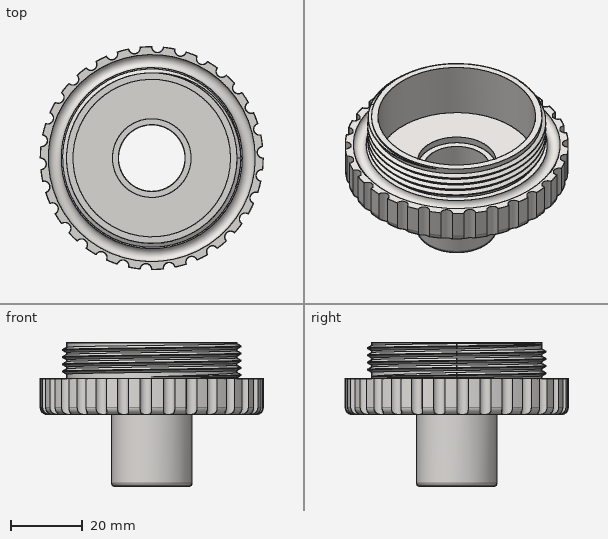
import cadquery as cq
import math

FLANGE_HEIGHT = 10.0
NECK_HEIGHT = 10.0
STEM_LENGTH = 20.0
NECK_TOP = FLANGE_HEIGHT + NECK_HEIGHT

FLANGE_RADIUS = 31.035
FLANGE_FILLET = 2.0
SCALLOP_COUNT = 30
SCALLOP_PITCH = 360.0 / SCALLOP_COUNT
SCALLOP_RADIUS = 1.6
FIRST_SCALLOP_ANGLE = SCALLOP_PITCH / 4

GROOVE_RING_RADIUS = 27.0
GROOVE_RADIUS = 1.8

STEM_DIAMETER = 22.5
STEM_FILLET = 1.0
HOLE_DIAMETER = 18.5
COUNTERBORE_DIAMETER = 21.9
COUNTERBORE_DEPTH = 2.0
CUP_DIAMETER = 43.84
CUP_FLOOR = 4.0

NECK_DIAMETER = 47.44
THREAD_PITCH = 2.0
THREAD_TURNS = 4
THREAD_START = FLANGE_HEIGHT + THREAD_PITCH / 2
TOOTH_ROOT_WIDTH = THREAD_PITCH * 3 / 4
TOOTH_CREST_WIDTH = THREAD_PITCH / 8
TOOTH_HEIGHT = (TOOTH_ROOT_WIDTH - TOOTH_CREST_WIDTH) / 2 * math.sqrt(3)
FADE_TURN = 0.25
FADE_TIP_SCALE = 0.02
HELIX_SAMPLES = 60


def disc(diameter, bottom, top):
    """Cylinder on the Z axis between two heights."""
    return cq.Workplane("XY").workplane(offset=bottom).circle(diameter / 2).extrude(top - bottom)


def make_flange():
    """Grip flange with a rounded lower rim, scalloped all round."""
    flange = disc(2 * FLANGE_RADIUS, 0, FLANGE_HEIGHT).faces("<Z").edges().fillet(FLANGE_FILLET)
    scallops = (
        cq.Workplane("XY")
        .polarArray(FLANGE_RADIUS, FIRST_SCALLOP_ANGLE, 360, SCALLOP_COUNT)
        .circle(SCALLOP_RADIUS)
        .extrude(FLANGE_HEIGHT)
    )
    return flange.cut(scallops)


def make_seal_groove():
    """Ring whose lower half sinks into the flange's upper face."""
    center = cq.Vector(0, 0, FLANGE_HEIGHT)
    return cq.Workplane(cq.Solid.makeTorus(GROOVE_RING_RADIUS, GROOVE_RADIUS, center))


def make_cap():
    """Flange, threadless neck and stem in one piece, bored from above."""
    stem = disc(STEM_DIAMETER, -STEM_LENGTH, 0).faces("<Z").edges().fillet(STEM_FILLET)
    neck = disc(NECK_DIAMETER, FLANGE_HEIGHT, NECK_TOP)
    cup = disc(CUP_DIAMETER, CUP_FLOOR, NECK_TOP)
    counterbore = disc(COUNTERBORE_DIAMETER, CUP_FLOOR - COUNTERBORE_DEPTH, CUP_FLOOR)
    hole = disc(HOLE_DIAMETER, -STEM_LENGTH, NECK_TOP)
    solid = make_flange().cut(make_seal_groove()).union(neck).union(stem)
    return solid.cut(cup).cut(counterbore).cut(hole)


def make_thread_piece(first_turn, last_turn, scale_at):
    """Stretch of thread between two turn counts; scale_at(t) is the tooth size at fraction t along it."""

    def helix(height, half_width):
        def point(t):
            turn = first_turn + t * (last_turn - first_turn)
            angle = 2 * math.pi * turn
            scale = scale_at(t)
            radius = NECK_DIAMETER / 2 + height * scale
            z = THREAD_START + turn * THREAD_PITCH + half_width * scale
            return (radius * math.cos(angle), radius * math.sin(angle), z)

        return cq.Workplane("XY").parametricCurve(point, N=HELIX_SAMPLES).val()

    helices = [
        helix(0, -TOOTH_ROOT_WIDTH / 2),
        helix(TOOTH_HEIGHT, -TOOTH_CREST_WIDTH / 2),
        helix(TOOTH_HEIGHT, TOOTH_CREST_WIDTH / 2),
        helix(0, TOOTH_ROOT_WIDTH / 2),
    ]
    sides = []
    for index, edge in enumerate(helices):
        sides.append(cq.Face.makeRuledSurface(helices[index - 1], edge))
    ends = []
    for end in (0, 1):
        corners = [edge.positionAt(end) for edge in helices]
        ends.append(cq.Face.makeFromWires(cq.Wire.makePolygon(corners, close=True)))
    return cq.Solid.makeSolid(cq.Shell.makeShell(sides + ends)).fix()


def make_full_turn(turn):
    """One complete turn of full-depth thread."""
    return make_thread_piece(turn, turn + 1, lambda t: 1.0)


def fade(t):
    """Tooth scale that falls evenly from full size to a fine tip."""
    return 1 - (1 - FADE_TIP_SCALE) * t


def make_lead_in():
    """Quarter turn that grows out of the neck below the full turns."""
    return make_thread_piece(-FADE_TURN, 0, lambda t: fade(1 - t))


def make_run_out():
    """Quarter turn that sinks into the neck above the full turns."""
    return make_thread_piece(THREAD_TURNS, THREAD_TURNS + FADE_TURN, fade)


cap = make_cap()
full_turns = [make_full_turn(turn) for turn in range(THREAD_TURNS)]
result = cq.Compound.makeCompound([cap.val(), make_lead_in(), *full_turns, make_run_out()])